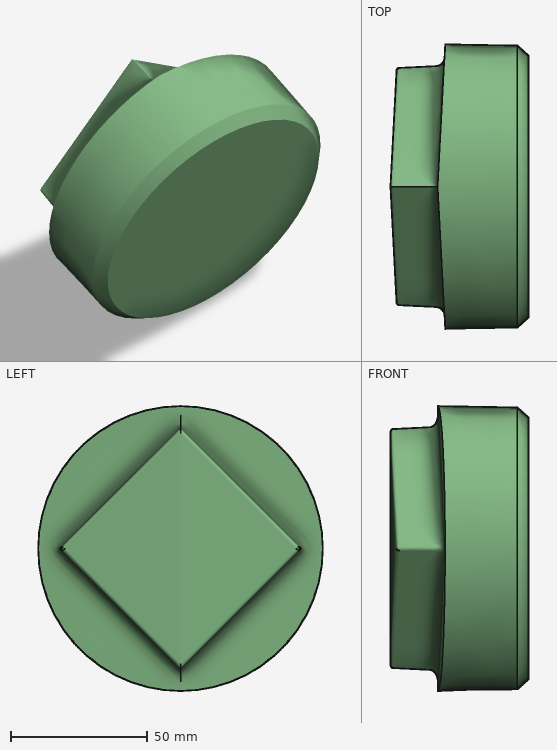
import cadquery as cq
import math

OVERALL_LENGTH = 50.8
BODY_LENGTH = 33.4
BODY_RADIUS = 52.4
BODY_TAPER = 1.0
CHAMFER_LENGTH = 4.2
END_RADIUS = 48.1
ROOF_ANGLE = 3.0
SQUARE_HALF_DIAGONAL = 43.9
SQUARE_DRAFT = 2.0
CORNER_RADIUS = 1.0
TOP_EDGE_RADIUS = 1.0
ROOT_RADIUS = 3.0
ROOT_OVERLAP = 6.3
EDGE_MARGIN = 1.0

ROOF_DROP = BODY_RADIUS * math.tan(math.radians(ROOF_ANGLE))


def roof_prism(ridge_distance):
    """Prism behind a shallow roof whose ridge runs along Z at the given distance from the back face."""
    eave = -ridge_distance + ROOF_DROP
    outline = [
        (0, -BODY_RADIUS),
        (eave, -BODY_RADIUS),
        (-ridge_distance, 0),
        (eave, BODY_RADIUS),
        (0, BODY_RADIUS),
    ]
    return cq.Workplane("XY").polyline(outline).close().extrude(BODY_RADIUS, both=True)


def make_body():
    """Tapered round body with a conical chamfer at the back and a roof-shaped front."""
    shoulder_radius = BODY_RADIUS - (BODY_LENGTH - CHAMFER_LENGTH) * math.tan(math.radians(BODY_TAPER))
    profile = [
        (0, 0),
        (0, END_RADIUS),
        (-CHAMFER_LENGTH, shoulder_radius),
        (-BODY_LENGTH, BODY_RADIUS),
        (-BODY_LENGTH, 0),
    ]
    cone = cq.Workplane("XY").polyline(profile).close().revolve(360, (0, 0, 0), (1, 0, 0))
    return cone.intersect(roof_prism(BODY_LENGTH))


def diamond(half_diagonal):
    """Corners of a square standing on its corner, in the YZ plane."""
    return [(half_diagonal, 0), (0, half_diagonal), (-half_diagonal, 0), (0, -half_diagonal)]


def make_square():
    """Drafted square drive, standing on its corner, with its two Y corners rounded and a roof-shaped front."""
    length = OVERALL_LENGTH - BODY_LENGTH + ROOT_OVERLAP
    growth = length * math.tan(math.radians(SQUARE_DRAFT)) * math.sqrt(2)
    block = (
        cq.Workplane("YZ", origin=(-OVERALL_LENGTH, 0, 0))
        .polyline(diamond(SQUARE_HALF_DIAGONAL))
        .close()
        .workplane(offset=length)
        .polyline(diamond(SQUARE_HALF_DIAGONAL + growth))
        .close()
        .loft(ruled=True)
    )
    y_corner_box = cq.selectors.BoxSelector(
        (-OVERALL_LENGTH, -BODY_RADIUS, -EDGE_MARGIN),
        (0, BODY_RADIUS, EDGE_MARGIN),
    )
    block = block.edges(y_corner_box).fillet(CORNER_RADIUS)
    return block.intersect(roof_prism(OVERALL_LENGTH))


def edges_between(solid, front, back):
    """Edges lying wholly within the square's reach, between two distances along X, except the ridge."""
    reach = SQUARE_HALF_DIAGONAL + ROOT_RADIUS
    band = cq.selectors.BoxSelector((front, -reach, -reach), (back, reach, reach), boundingbox=True)
    return solid.edges(band).edges("not |Z")


def round_square_edges(solid):
    """Fillet the root of the square and then its top edge."""
    root_back = -BODY_LENGTH + ROOF_DROP
    solid = edges_between(solid, -BODY_LENGTH - EDGE_MARGIN, root_back).fillet(ROOT_RADIUS)
    top_back = -OVERALL_LENGTH + ROOF_DROP
    return edges_between(solid, -OVERALL_LENGTH - EDGE_MARGIN, top_back).fillet(TOP_EDGE_RADIUS)


half_space = cq.Workplane("XY").box(
    OVERALL_LENGTH, BODY_RADIUS, 2 * BODY_RADIUS, centered=(False, False, True)
).translate((-OVERALL_LENGTH, 0, 0))
sharp_half = make_body().union(make_square()).intersect(half_space)
rounded_half = round_square_edges(sharp_half)
result = rounded_half.union(rounded_half.mirror("XZ"))